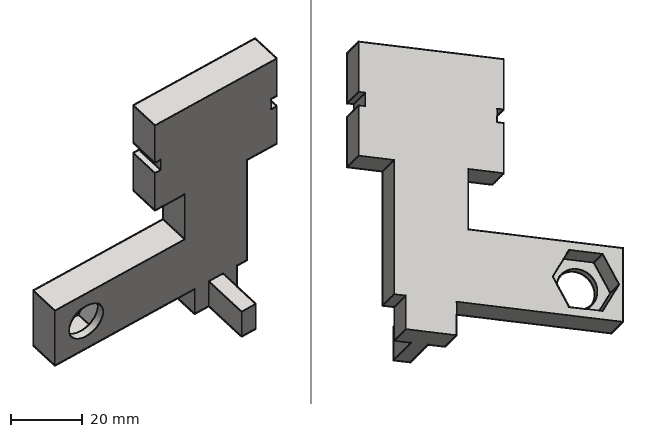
import cadquery as cq

plate_thickness = 10.0
total_height = 84.0
total_width = 78.3

head_width = 43.0
head_height = 34.0
notch_depth = 2.0
notch_height = 4.0

stem_width = 22.0
arm_height = stem_width
foot_width = 15.0
foot_height = 10.0

peg_length = 15.0
peg_width = 5.0

bolt_diameter = 12.0
nut_across_corners = 19.65
nut_depth = 7.5

head_bottom = total_height - head_height
notch_center_z = total_height - head_height / 2
arm_end_y = head_width / 2 - total_width
bolt_y = arm_end_y + arm_height / 2
bolt_z = foot_height + arm_height / 2


def plate_block(y_min, y_max, z_min, z_max):
    """Full-thickness block of the plate between the given Y and Z limits."""
    block = cq.Workplane("XY").box(plate_thickness, y_max - y_min, z_max - z_min, centered=False)
    return block.translate((0, y_min, z_min))


def centered_block(width, z_min, z_max):
    """Plate block that is symmetric about the centre line."""
    return plate_block(-width / 2, width / 2, z_min, z_max)


head = centered_block(head_width, head_bottom, total_height)
stem = centered_block(stem_width, foot_height, head_bottom)
foot = centered_block(foot_width, 0, foot_height)
arm = plate_block(arm_end_y, 0, foot_height, foot_height + arm_height)
plate = head.union(stem).union(foot).union(arm)

notch_floor = head_width / 2 - notch_depth
notch_bottom = notch_center_z - notch_height / 2
notch_top = notch_center_z + notch_height / 2
plate = plate.cut(plate_block(notch_floor, head_width / 2, notch_bottom, notch_top))
plate = plate.cut(plate_block(-head_width / 2, -notch_floor, notch_bottom, notch_top))

peg = cq.Workplane("XY").box(peg_length, peg_width, foot_height, centered=(False, True, False))
plate = plate.union(peg.translate((plate_thickness, 0, 0)))

bolt_plane = cq.Workplane("YZ").center(bolt_y, bolt_z)
bolt_hole = bolt_plane.circle(bolt_diameter / 2).extrude(plate_thickness)
nut_pocket = bolt_plane.polygon(6, nut_across_corners).extrude(nut_depth)

result = plate.cut(bolt_hole).cut(nut_pocket)